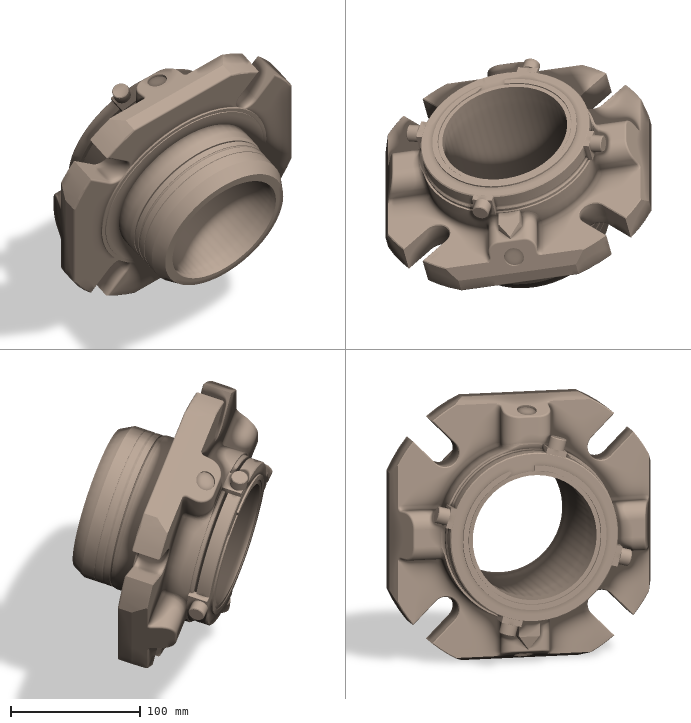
import cadquery as cq
import math


TOTAL_LENGTH = 115.93
BORE_DIAMETER = 98.42
SLEEVE_FRONT_X = 0.6
SLEEVE_FRONT_DIAMETER = 104.75
SHOULDER_DIAMETER = 125.2
TAIL_DIAMETER = 123.44
SHOULDER_TAPER_START_X = 78.9
NOSE_START_X = 105.7
NOSE_END_DIAMETER = 112.4
RING_GROOVE_DIAMETER = 120.14
SHALLOW_GROOVE_DIAMETER = 122.48
RING_GROOVE = (82.0, 83.4)
SHALLOW_GROOVES = ((87.9, 89.2), (95.2, 96.0))
GROOVE_RUNOUT_END_X = 90.0

SNAP_RING_DIAMETER = 114.0
SNAP_RING_INNER_DIAMETER = 105.59
SNAP_GAP_OUTER_ANGLE = 20.5
SNAP_GAP_INNER_ANGLE = 25.5
SNAP_GAP_NOTCH_ANGLE = 19.4
SNAP_GAP_NOTCH_RADIUS = 55.1
COLLAR_START_X = 1.4
COLLAR_END_X = 11.9
COLLAR_DIAMETER = 133.35
COLLAR_CHAMFER = 0.8

PLATE_WIDTH = 207.52
PLATE_CORNER_DIAMETER = 227.2
PLATE_FRONT_X = 38.3
PLATE_BACK_X = 61.4
PLATE_BACK_FILLET = 1.5
PLATE_FRONT_CHAMFER = 0.7
SLOPE_START_X = 49.7
SLOPE_ANGLE = 20.0
SLOT_RADIUS = 10.7
SLOT_CENTER_RADIUS = 87.5
PILOT_RIM_DIAMETER = 156.4
PILOT_RIM_END_X = 62.9
PILOT_DIAMETER = 150.01
PILOT_END_X = 63.6

LIP_START_X = 14.3
LIP_DIAMETER = 134.87
LIP_CHAMFER = 0.8
HUB_FRONT_X = 17.2
ROOT_FILLET = 3.0
HUB_DIAMETER = 138.0

BOSS_HALF_WIDTH = 19.1
BOSS_FRONT_X = 17.6
BOSS_CORNER_RADIUS = 12.0
LOWER_BOSS_FRONT_X = 23.5
LOWER_BOSS_CORNER_RADIUS = 9.0
BOSS_BASE_RADIUS = 60.0
BOSS_TOP_FILLET = 1.5
PORT_DIAMETER = 15.34
PORT_DEPTH = 2.0
PORT_CENTER_X = 27.0
LOWER_PORT_CENTER_X = 37.0

TAG_HALF_WIDTH = 9.4
TAG_FRONT_X = 17.9
TAG_DRAFT = 12.0
TAG_SHOULDER_RADIUS = 81.3
TAG_TIP_RADIUS = 92.8
TAG_FRONT_AT_TIP_X = 21.6

CLIP_ANGLES = (15, 105, 195, 285)
CLIP_START_X = 1.5
CLIP_END_X = HUB_FRONT_X
CLIP_WIDTH = 16.1
CLIP_INNER_RADIUS = 64.6
CLIP_OUTER_RADIUS = 70.5
SCREW_CENTER_X = 6.6
SCREW_DIAMETER = 13.0
SCREW_TOP_RADIUS = 79.4
SCREW_CHAMFER = 0.6

HALF_WIDTH = PLATE_WIDTH / 2
TOLERANCE = 0.01
SLOPE = math.tan(math.radians(SLOPE_ANGLE))


def disc(start_x, end_x, diameter):
    """Solid cylinder on the shaft axis."""
    return cq.Workplane("YZ", origin=(start_x, 0, 0)).circle(diameter / 2).extrude(end_x - start_x)


def ring(start_x, end_x, outer_diameter, inner_diameter):
    """Annular cylinder on the shaft axis."""
    profile = cq.Workplane("YZ", origin=(start_x, 0, 0)).circle(outer_diameter / 2).circle(inner_diameter / 2)
    return profile.extrude(end_x - start_x)


def turn(body, angle):
    """Rotate a body about the shaft axis."""
    return body.rotate((0, 0, 0), (1, 0, 0), angle)


def polar_from_z(radius, angle):
    """(Y, Z) of a point at the given radius, turned from +Z toward +Y."""
    return radius * math.sin(math.radians(angle)), radius * math.cos(math.radians(angle))


def make_sleeve():
    """Stepped sleeve body, grooved behind the gland and tapered at its tail."""
    runout_start_x = SHALLOW_GROOVES[0][1]
    profile = [
        (SLEEVE_FRONT_X, 0),
        (SLEEVE_FRONT_X, SLEEVE_FRONT_DIAMETER / 2),
        (HUB_FRONT_X, SLEEVE_FRONT_DIAMETER / 2),
        (HUB_FRONT_X, SHOULDER_DIAMETER / 2),
        (SHOULDER_TAPER_START_X, SHOULDER_DIAMETER / 2),
        (RING_GROOVE[0], TAIL_DIAMETER / 2),
        (runout_start_x, TAIL_DIAMETER / 2),
        (runout_start_x, SHALLOW_GROOVE_DIAMETER / 2),
        (GROOVE_RUNOUT_END_X, TAIL_DIAMETER / 2),
        (NOSE_START_X, TAIL_DIAMETER / 2),
        (TOTAL_LENGTH, NOSE_END_DIAMETER / 2),
        (TOTAL_LENGTH, 0),
    ]
    sleeve = cq.Workplane("XY").polyline(profile).close().revolve(360, (0, 0, 0), (1, 0, 0))
    sleeve = sleeve.cut(ring(*RING_GROOVE, PILOT_DIAMETER, RING_GROOVE_DIAMETER))
    for groove in SHALLOW_GROOVES:
        sleeve = sleeve.cut(ring(*groove, PILOT_DIAMETER, SHALLOW_GROOVE_DIAMETER))
    return sleeve


def make_collar():
    """Drive collar with the split snap ring standing in front of it."""
    collar = disc(COLLAR_START_X, COLLAR_END_X, COLLAR_DIAMETER).faces("<X").edges().chamfer(COLLAR_CHAMFER)
    snap_ring = ring(0, COLLAR_START_X, SNAP_RING_DIAMETER, SNAP_RING_INNER_DIAMETER)
    gap = (
        cq.Workplane("YZ")
        .moveTo(0, 0)
        .lineTo(*polar_from_z(SNAP_RING_INNER_DIAMETER / 2, SNAP_GAP_INNER_ANGLE))
        .lineTo(*polar_from_z(SNAP_GAP_NOTCH_RADIUS, SNAP_GAP_NOTCH_ANGLE))
        .lineTo(*polar_from_z(SNAP_RING_DIAMETER / 2, SNAP_GAP_OUTER_ANGLE))
        .lineTo(0, SNAP_RING_DIAMETER)
        .close()
        .extrude(COLLAR_START_X)
    )
    return collar.union(snap_ring.cut(gap))


def make_slope_envelope():
    """Square block whose four front sides slope inward; it bounds the plate and the bosses."""
    front_half_width = HALF_WIDTH - SLOPE * SLOPE_START_X
    profile = (
        cq.Workplane("XZ")
        .moveTo(0, -front_half_width)
        .lineTo(0, front_half_width)
        .lineTo(SLOPE_START_X, HALF_WIDTH)
        .lineTo(PLATE_BACK_X, HALF_WIDTH)
        .lineTo(PLATE_BACK_X, -HALF_WIDTH)
        .lineTo(SLOPE_START_X, -HALF_WIDTH)
        .close()
        .extrude(HALF_WIDTH, both=True)
    )
    return profile.intersect(turn(profile, 90))


def make_plate():
    """Round plate with four open diagonal bolt slots."""
    plate = disc(PLATE_FRONT_X, PLATE_BACK_X, PLATE_CORNER_DIAMETER)
    plate = plate.intersect(make_slope_envelope())
    length = PLATE_BACK_X - PLATE_FRONT_X
    start = cq.Workplane("YZ", origin=(PLATE_FRONT_X, 0, 0))
    round_end = start.center(SLOT_CENTER_RADIUS, 0).circle(SLOT_RADIUS).extrude(length)
    reach = PLATE_CORNER_DIAMETER / 2
    straight = start.center(SLOT_CENTER_RADIUS + reach / 2, 0).rect(reach, 2 * SLOT_RADIUS).extrude(length)
    slot = round_end.union(straight)
    for quarter in range(4):
        plate = plate.cut(turn(slot, 45 + 90 * quarter))
    plate = plate.faces(">X").edges().fillet(PLATE_BACK_FILLET)
    return plate.faces("<X").edges("not (|Y or |Z)").chamfer(PLATE_FRONT_CHAMFER)


def make_boss(front_x, corner_radius):
    """Boss on the +Z side: rounded at its front corners and flared into the plate."""
    wall = BOSS_HALF_WIDTH
    foot = wall + ROOT_FILLET
    flat = wall - corner_radius
    corner_x = front_x + corner_radius
    flare_x = PLATE_FRONT_X - ROOT_FILLET
    bulge = corner_radius * math.sqrt(0.5)
    sag = ROOT_FILLET * (1 - math.sqrt(0.5))
    boss = (
        cq.Workplane("XY", origin=(0, 0, BOSS_BASE_RADIUS))
        .moveTo(front_x, -flat)
        .lineTo(front_x, flat)
        .threePointArc((corner_x - bulge, flat + bulge), (corner_x, wall))
        .lineTo(flare_x, wall)
        .threePointArc((PLATE_FRONT_X - sag, wall + sag), (PLATE_FRONT_X, foot))
        .lineTo(SLOPE_START_X, foot)
        .lineTo(SLOPE_START_X, -foot)
        .lineTo(PLATE_FRONT_X, -foot)
        .threePointArc((PLATE_FRONT_X - sag, -wall - sag), (flare_x, -wall))
        .lineTo(corner_x, -wall)
        .threePointArc((corner_x - bulge, -flat - bulge), (front_x, -flat))
        .close()
        .extrude(HALF_WIDTH - BOSS_BASE_RADIUS)
    )
    boss = boss.intersect(make_slope_envelope())
    rim = cq.selectors.BoxSelector(
        (0, -HALF_WIDTH, LIP_DIAMETER / 2 + ROOT_FILLET),
        (PLATE_FRONT_X - ROOT_FILLET, HALF_WIDTH, HALF_WIDTH),
    )
    return boss.faces(">Z").edges("not |Y").edges(rim).fillet(BOSS_TOP_FILLET)


def is_hub_root(edge):
    """True for an edge that lies on the hub cylinder in front of the plate's rear half."""
    points = [edge.positionAt(step) for step in (0.0, 0.3, 0.7, 1.0)]
    on_hub = all(abs(math.hypot(p.y, p.z) - HUB_DIAMETER / 2) < TOLERANCE for p in points)
    return on_hub and TOLERANCE < edge.Center().x < PLATE_FRONT_X + TOLERANCE


def add_hub(body):
    """Join the hub with concave fillets at its root, then face it off and add the seating lip."""
    body = body.union(disc(0, PLATE_BACK_X, HUB_DIAMETER))
    roots = [edge for edge in body.edges().vals() if is_hub_root(edge)]
    body = body.newObject(roots).fillet(ROOT_FILLET)
    body = body.cut(disc(0, HUB_FRONT_X, PLATE_WIDTH))
    lip = disc(LIP_START_X, HUB_FRONT_X, LIP_DIAMETER).faces("<X").edges().chamfer(LIP_CHAMFER)
    return body.union(lip)


def make_port(center_x):
    """Shallow round recess square to the sloped top of a boss on the +Z side."""
    center_z = HALF_WIDTH - SLOPE * (SLOPE_START_X - center_x)
    drill = cq.Workplane("XY").circle(PORT_DIAMETER / 2).extrude(2 * PORT_DEPTH)
    drill = drill.translate((0, 0, -PORT_DEPTH)).rotate((0, 0, 0), (0, 1, 0), -SLOPE_ANGLE)
    return drill.translate((center_x, 0, center_z))


def make_tag():
    """Arrow-shaped pad with drafted sides; its front slopes back toward the tip."""
    pad = (
        cq.Workplane("YZ", origin=(LOWER_BOSS_FRONT_X, 0, 0))
        .moveTo(-TAG_HALF_WIDTH, -BOSS_BASE_RADIUS)
        .lineTo(TAG_HALF_WIDTH, -BOSS_BASE_RADIUS)
        .lineTo(TAG_HALF_WIDTH, -TAG_SHOULDER_RADIUS)
        .lineTo(0, -TAG_TIP_RADIUS)
        .lineTo(-TAG_HALF_WIDTH, -TAG_SHOULDER_RADIUS)
        .close()
        .extrude(TAG_FRONT_X - LOWER_BOSS_FRONT_X, taper=TAG_DRAFT)
    )
    bevel = (
        cq.Workplane("XZ")
        .moveTo(TAG_FRONT_X, -TAG_SHOULDER_RADIUS)
        .lineTo(TAG_FRONT_AT_TIP_X, -TAG_TIP_RADIUS)
        .lineTo(TAG_FRONT_X, -TAG_TIP_RADIUS)
        .close()
        .extrude(TAG_HALF_WIDTH, both=True)
    )
    return pad.cut(bevel)


def make_gland():
    """Plate, hub and bosses, with the ports, the arrow tag and the rear pilot."""
    boss = make_boss(BOSS_FRONT_X, BOSS_CORNER_RADIUS)
    lower_boss = make_boss(LOWER_BOSS_FRONT_X, LOWER_BOSS_CORNER_RADIUS)
    gland = make_plate()
    for angle in (0, 90, 270):
        gland = gland.union(turn(boss, angle))
    gland = gland.union(turn(lower_boss, 180))
    gland = add_hub(gland)
    gland = gland.cut(make_port(PORT_CENTER_X)).cut(turn(make_port(LOWER_PORT_CENTER_X), 180))
    gland = gland.union(make_tag())
    gland = gland.union(disc(PLATE_BACK_X, PILOT_RIM_END_X, PILOT_RIM_DIAMETER))
    return gland.union(disc(PLATE_BACK_X, PILOT_END_X, PILOT_DIAMETER))


def make_clip():
    """Setting clip on the +Y side: a block bridging collar and gland, with a screw head."""
    block = cq.Workplane("XY").box(
        CLIP_END_X - CLIP_START_X,
        CLIP_OUTER_RADIUS - CLIP_INNER_RADIUS,
        CLIP_WIDTH,
    )
    block = block.translate(((CLIP_START_X + CLIP_END_X) / 2, (CLIP_INNER_RADIUS + CLIP_OUTER_RADIUS) / 2, 0))
    screw = (
        cq.Workplane("XZ", origin=(SCREW_CENTER_X, CLIP_OUTER_RADIUS, 0))
        .circle(SCREW_DIAMETER / 2)
        .extrude(CLIP_OUTER_RADIUS - SCREW_TOP_RADIUS)
        .faces(">Y")
        .edges()
        .chamfer(SCREW_CHAMFER)
    )
    return block.union(screw)


part = make_sleeve().union(make_collar()).union(make_gland())
for clip_angle in CLIP_ANGLES:
    part = part.union(turn(make_clip(), clip_angle))
result = part.cut(disc(0, TOTAL_LENGTH, BORE_DIAMETER))